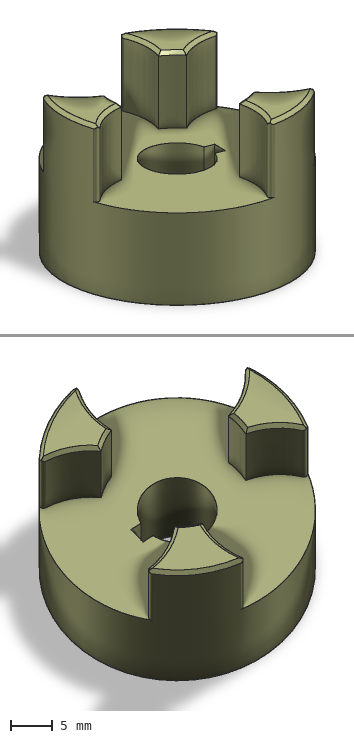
import cadquery as cq
import math

HUB_RADIUS = 16.5
HUB_HEIGHT = 12.02

JAW_COUNT = 3
JAW_HEIGHT = 9.97
JAW_INNER_RADIUS = 9.28
JAW_CHAMFER = 0.5
JAW_CORNER_RADIUS = 0.5
JAW_PITCH = 360.0 / JAW_COUNT
FIRST_JAW_ANGLE = -90.0

POCKET_RADIUS = 10.07
POCKET_CENTER_RADIUS = 13.2

BORE_RADIUS = 4.75
KEYWAY_WIDTH = 2.3
KEYWAY_REACH = 6.1

TOTAL_HEIGHT = HUB_HEIGHT + JAW_HEIGHT


def make_blank():
    """Full-height cylinder."""
    return cq.Workplane("XY").circle(HUB_RADIUS).extrude(TOTAL_HEIGHT)


def make_jaw_clearance():
    """Space around the jaws: a central recess joined to one round pocket per gap."""
    floor = cq.Workplane("XY").workplane(offset=HUB_HEIGHT)
    recess = floor.circle(JAW_INNER_RADIUS).extrude(JAW_HEIGHT)
    pockets = (
        floor.polarArray(POCKET_CENTER_RADIUS, FIRST_JAW_ANGLE + JAW_PITCH / 2, 360, JAW_COUNT)
        .circle(POCKET_RADIUS)
        .extrude(JAW_HEIGHT)
    )
    return recess.union(pockets)


def outer_corner_edges(body):
    """Upright edges where the jaw flanks meet the rim."""
    def is_outer_corner(edge):
        middle = edge.Center()
        at_rim = math.isclose(math.hypot(middle.x, middle.y), HUB_RADIUS)
        return at_rim and middle.z > HUB_HEIGHT

    return body.edges("|Z").filter(is_outer_corner)


def make_bore():
    """Round bore with a keyway on its +Y side, through the hub."""
    bore = cq.Workplane("XY").circle(BORE_RADIUS).extrude(HUB_HEIGHT)
    keyway = (
        cq.Workplane("XY")
        .center(0, KEYWAY_REACH / 2)
        .rect(KEYWAY_WIDTH, KEYWAY_REACH)
        .extrude(HUB_HEIGHT)
    )
    return bore.union(keyway)


def make_coupling_hub():
    """Jaw coupling hub: the jaws are what the pockets leave of the full-height blank."""
    body = make_blank().cut(make_jaw_clearance())
    body = body.faces(">Z").chamfer(JAW_CHAMFER)
    body = outer_corner_edges(body).fillet(JAW_CORNER_RADIUS)
    return body.cut(make_bore())


coupling_hub = make_coupling_hub().solids()

result = cq.Compound.makeCompound([coupling_hub.val()])